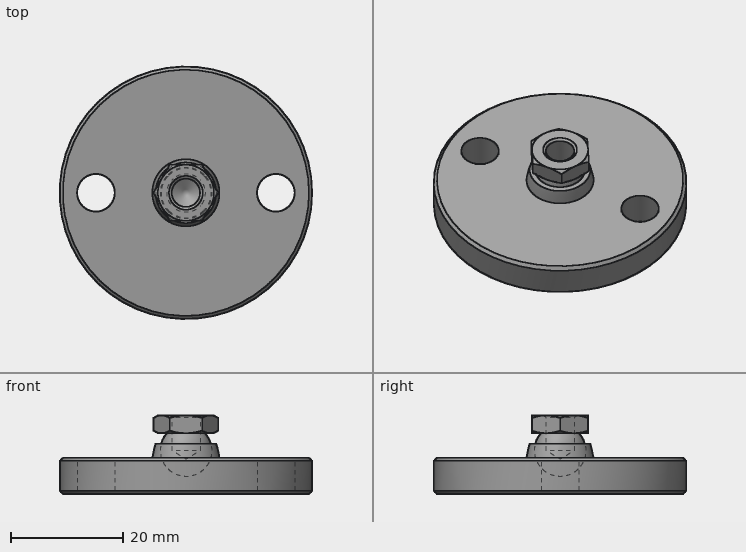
import cadquery as cq
import math

plate_radius = 22.5
plate_height = 6.5
edge_chamfer = 0.6
mount_hole_diameter = 6.65
mount_hole_offset = 16.0

collar_base_radius = 6.0
collar_mid_radius = 5.75
collar_top_radius = 5.4
collar_top = 9.0
collar_mid = (plate_height + collar_top) / 2

ball_radius = 4.6
ball_center = 7.8
hex_flats = 10.0
hex_bottom = 10.85
overall_height = 14.0
hex_height = overall_height - hex_bottom
hex_corner_radius = hex_flats / math.sqrt(3)
hex_chamfer_angle = math.radians(30)

bore_radius = 2.5
countersink_radius = 3.0
countersink_depth = 0.3
bore_bottom = ball_center
drill_point_angle = math.radians(118)


def make_ball():
    return cq.Workplane("XY").sphere(ball_radius).translate((0, 0, ball_center))


def make_base():
    """Round plate and collar, with a ball socket and two mounting holes."""
    plate = (
        cq.Workplane("XY").circle(plate_radius).extrude(plate_height)
        .faces("<Z or >Z").edges().chamfer(edge_chamfer)
        .faces(">Z").workplane()
        .pushPoints([(-mount_hole_offset, 0), (mount_hole_offset, 0)])
        .hole(mount_hole_diameter)
    )
    collar = (
        cq.Workplane("XZ")
        .moveTo(0, plate_height)
        .lineTo(collar_base_radius, plate_height)
        .threePointArc((collar_mid_radius, collar_mid), (collar_top_radius, collar_top))
        .lineTo(0, collar_top)
        .close()
        .revolve(360, (0, 0, 0), (0, 1, 0))
    )
    return plate.union(collar).cut(make_ball())


def make_hex_head():
    """Hexagon with corners along X, chamfered at both ends by a turned profile."""
    inner_radius = hex_flats / 2
    chamfer_height = (hex_corner_radius - inner_radius) * math.tan(hex_chamfer_angle)
    hexagon = (
        cq.Workplane("XY").workplane(offset=hex_bottom)
        .polygon(6, 2 * hex_corner_radius).extrude(hex_height)
    )
    turned_envelope = (
        cq.Workplane("XZ")
        .moveTo(0, hex_bottom)
        .lineTo(inner_radius, hex_bottom)
        .lineTo(hex_corner_radius, hex_bottom + chamfer_height)
        .lineTo(hex_corner_radius, overall_height - chamfer_height)
        .lineTo(inner_radius, overall_height)
        .lineTo(0, overall_height)
        .close()
        .revolve(360, (0, 0, 0), (0, 1, 0))
    )
    return hexagon.intersect(turned_envelope)


def make_bore():
    """Countersunk blind hole with a conical drill point."""
    point_depth = bore_radius / math.tan(drill_point_angle / 2)
    return (
        cq.Workplane("XZ")
        .moveTo(0, overall_height)
        .lineTo(countersink_radius, overall_height)
        .lineTo(bore_radius, overall_height - countersink_depth)
        .lineTo(bore_radius, bore_bottom)
        .lineTo(0, bore_bottom - point_depth)
        .close()
        .revolve(360, (0, 0, 0), (0, 1, 0))
    )


def make_ball_stud():
    """Ball cut off at the underside of the hexagonal head, with the bore."""
    trim_block = cq.Workplane("XY").box(
        2 * ball_radius, 2 * ball_radius, hex_bottom, centered=(True, True, False)
    )
    return make_ball().intersect(trim_block).union(make_hex_head()).cut(make_bore())


base = make_base()
ball_stud = make_ball_stud()

result = cq.Compound.makeCompound([base.val(), ball_stud.val()])